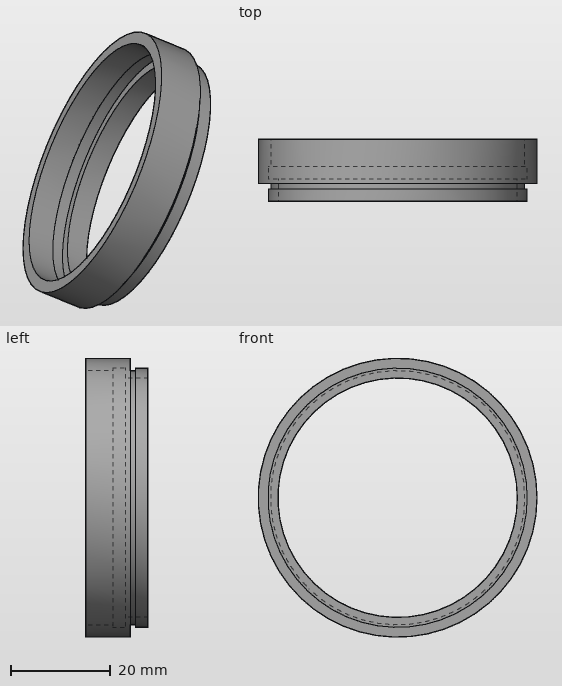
import cadquery as cq

outer_diameter = 56.0
total_length = 12.5
lip_diameter = 52.0
lip_length = 2.5
groove_diameter = 51.0
groove_width = 1.0

front_bore_diameter = 48.0
front_bore_length = 4.5
relief_diameter = 52.0
relief_width = 2.5
rear_bore_diameter = 51.0

body_start = lip_length + groove_width
relief_end = front_bore_length + relief_width


def cylinder(diameter, start, end):
    """Cylinder along +Y between two distances from the lip face."""
    plane = cq.Workplane("XZ", origin=(0, start, 0))
    return plane.circle(diameter / 2).extrude(start - end)


lip = cylinder(lip_diameter, 0, lip_length)
groove_neck = cylinder(groove_diameter, lip_length, body_start)
body = cylinder(outer_diameter, body_start, total_length)

front_bore = cylinder(front_bore_diameter, 0, front_bore_length)
relief = cylinder(relief_diameter, front_bore_length, relief_end)
rear_bore = cylinder(rear_bore_diameter, relief_end, total_length)

ring = lip.union(groove_neck).union(body)
ring = ring.cut(front_bore).cut(relief).cut(rear_bore)

result = ring.translate((0, -total_length / 2, 0))